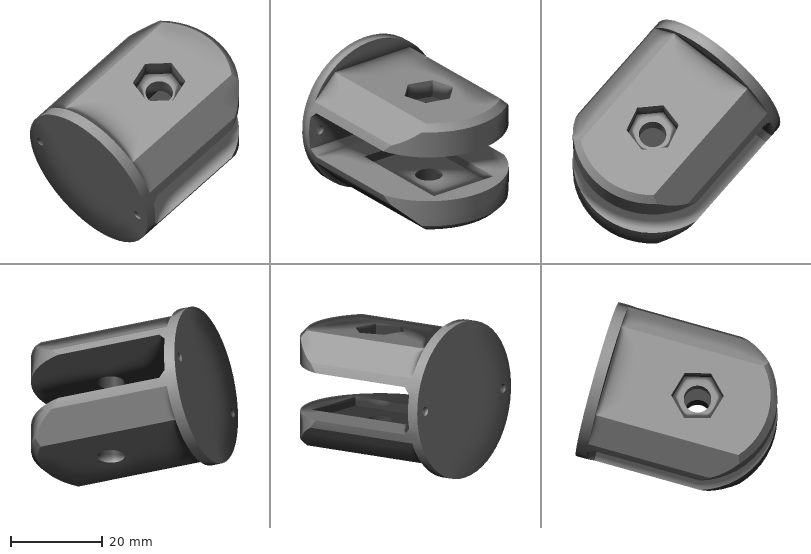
import cadquery as cq
import math

length = 40.25
diameter = 35.0
radius = diameter / 2
base_thickness = 2.5

half_height = 12.9
flat_half_width = 10.3
slot_half_height = 5.3
slot_corner_chamfer = 1.5

end_chamfer = 1.5
pivot_y = length - radius

pivot_diameter = 6.0
nut_across_flats = 10.0
nut_depth = 4.0
nut_corner_angle = 45

recess_half_width = 8.2
recess_half_length = 12.52
recess_depth = 2.0

base_hole_offset = 14.5
base_hole_diameter = 2.0


def cylinder_along_y(cylinder_radius, cylinder_length):
    return cq.Workplane("XZ").circle(cylinder_radius).extrude(-cylinder_length)


def make_clevis_bar():
    """Round bar with flat top and bottom and 45 degree flats beside them."""
    bar = cylinder_along_y(radius, length)
    slope_run = radius - flat_half_width
    section = (
        cq.Workplane("XZ")
        .rect(2 * radius, 2 * half_height)
        .extrude(-length)
        .edges("|Y")
        .chamfer(slope_run)
    )
    return bar.intersect(section)


def make_end_envelope():
    """Plan outline with a semicircular end, chamfered along its arc."""
    round_end = (
        cq.Workplane("XY")
        .center(0, pivot_y)
        .circle(radius)
        .extrude(half_height, both=True)
        .edges("%CIRCLE")
        .chamfer(end_chamfer)
    )
    straight = cq.Workplane("XY").box(
        2 * radius, pivot_y, 2 * half_height, centered=(True, False, True)
    )
    return round_end.union(straight)


def make_slot():
    slot_length = length - base_thickness
    return (
        cq.Workplane("XY")
        .box(2 * radius, slot_length, 2 * slot_half_height)
        .edges("|X and <Y")
        .chamfer(slot_corner_chamfer)
        .translate((0, base_thickness + slot_length / 2, 0))
    )


def make_pivot_cut():
    hole = (
        cq.Workplane("XY")
        .center(0, pivot_y)
        .circle(pivot_diameter / 2)
        .extrude(half_height, both=True)
    )
    nut_corner_diameter = nut_across_flats / math.cos(math.pi / 6)
    nut = (
        cq.Workplane("XY")
        .polygon(6, nut_corner_diameter)
        .extrude(nut_depth)
        .rotate((0, 0, 0), (0, 0, 1), nut_corner_angle)
        .translate((0, pivot_y, half_height - nut_depth))
    )
    return hole.union(nut)


def make_lower_recess():
    return (
        cq.Workplane("XY", origin=(0, pivot_y, -slot_half_height))
        .rect(2 * recess_half_width, 2 * recess_half_length)
        .extrude(-recess_depth)
    )


def make_base_holes():
    return (
        cq.Workplane("XZ")
        .pushPoints([(-base_hole_offset, 0), (base_hole_offset, 0)])
        .circle(base_hole_diameter / 2)
        .extrude(-base_thickness)
    )


clevis = make_clevis_bar().intersect(make_end_envelope())
result = (
    clevis.union(cylinder_along_y(radius, base_thickness))
    .cut(make_slot())
    .cut(make_pivot_cut())
    .cut(make_lower_recess())
    .cut(make_base_holes())
)